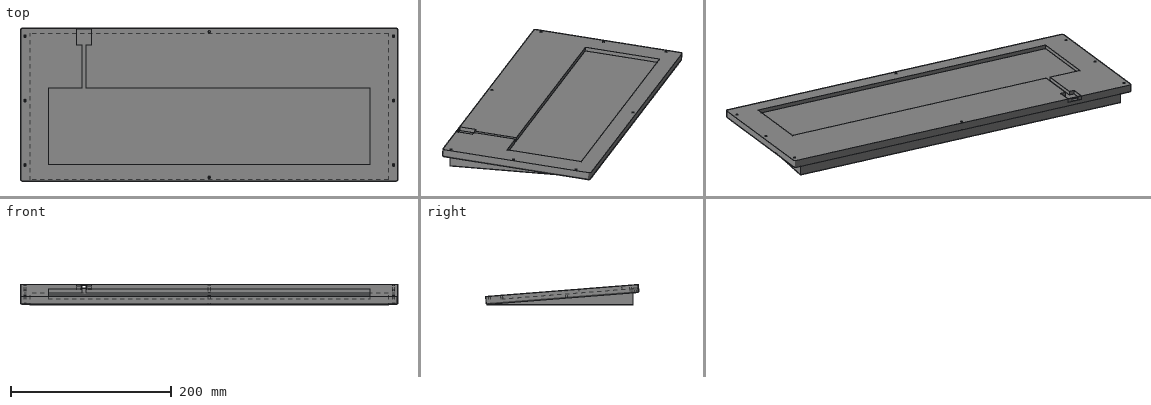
import cadquery as cq
import math

LENGTH = 470.0
WIDTH = 190.945
THICKNESS = 10.0
TILT = 4.5
CORNER_RADIUS = 3.0
UNDERSIDE_ROUND = 2.0
OVERALL_HEIGHT = 25.32

FOOT_SIDE_INSET = 12.0
FOOT_REAR_INSET = 7.2
FOOT_FRONT_INSET = 2.0
FOOT_OVERLAP = 2.0

RECESS_DEPTH = 4.8
PANEL_LENGTH = 400.5
PANEL_WIDTH = 95.5
PANEL_FRONT = 20.8
CONNECTOR_X = -156.0
CONNECTOR_LENGTH = 18.5
CONNECTOR_WIDTH = 20.25
REAR_WALL = 0.75
CHANNEL_WIDTH = 5.4

OPENING_WIDTH = 8.0
OPENING_ROOF = 1.5
OPENING_SILL = 0.5

HOLE_DIAMETER = 2.5
SIDE_HOLE_X = 229.5
SIDE_HOLE_PITCH = 80.5
SIDE_HOLE_MIDDLE = 100.5
CENTRE_HOLE_INSET = 4.5

tilt = math.radians(TILT)
panel_rear = PANEL_FRONT + PANEL_WIDTH
connector_rear = WIDTH - REAR_WALL
connector_front = connector_rear - CONNECTOR_WIDTH
front_top_height = OVERALL_HEIGHT - WIDTH * math.sin(tilt)


def block(x_middle, x_size, y_front, y_rear, z_bottom, z_top):
    """Box in the plate's own frame: front edge on Y = 0, top face on Z = 0."""
    return (
        cq.Workplane("XY", origin=(x_middle, 0, z_bottom))
        .moveTo(0, (y_front + y_rear) / 2)
        .rect(x_size, y_rear - y_front)
        .extrude(z_top - z_bottom)
    )


def tilted(flat):
    """Raise the rear of a body drawn in the plate's frame and set it at its height."""
    return flat.rotate((0, 0, 0), (1, 0, 0), TILT).translate(
        (0, -WIDTH / 2, front_top_height)
    )


def make_plate():
    """Plate with rounded corners and a rounded underside edge."""
    plate = block(0, LENGTH, 0, WIDTH, -THICKNESS, 0)
    plate = plate.edges("|Z").fillet(CORNER_RADIUS)
    return plate.faces("<Z").edges().fillet(UNDERSIDE_ROUND)


def make_foot():
    """Wedge standing on Z = 0 whose sloping top is sunk into the plate's underside."""
    top_depth = THICKNESS - FOOT_OVERLAP
    y_front = FOOT_FRONT_INSET - WIDTH / 2
    y_rear = WIDTH / 2 - FOOT_REAR_INSET

    def top_at(y):
        return front_top_height + (y + WIDTH / 2) * math.tan(tilt) - top_depth

    return (
        cq.Workplane("YZ")
        .polyline([(y_front, 0), (y_rear, 0), (y_rear, top_at(y_rear)), (y_front, top_at(y_front))])
        .close()
        .extrude(LENGTH / 2 - FOOT_SIDE_INSET, both=True)
    )


def make_recesses():
    """Panel and connector recesses, the channel joining them and the rear cable opening."""
    panel = block(0, PANEL_LENGTH, PANEL_FRONT, panel_rear, -RECESS_DEPTH, 0)
    connector = block(CONNECTOR_X, CONNECTOR_LENGTH, connector_front, connector_rear, -RECESS_DEPTH, 0)
    channel = block(CONNECTOR_X, CHANNEL_WIDTH, panel_rear, connector_front, -RECESS_DEPTH, 0)
    opening_bottom = OPENING_SILL - RECESS_DEPTH
    opening = block(CONNECTOR_X, OPENING_WIDTH, connector_rear, WIDTH, opening_bottom, -OPENING_ROOF)
    return panel.union(connector).union(channel).union(opening)


def make_holes():
    """Screw holes square to the top face, deep enough to pass through plate and foot."""
    side_holes = [
        (side * SIDE_HOLE_X, SIDE_HOLE_MIDDLE + step * SIDE_HOLE_PITCH)
        for side in (-1, 1)
        for step in (-1, 0, 1)
    ]
    centre_holes = [(0, CENTRE_HOLE_INSET), (0, WIDTH - CENTRE_HOLE_INSET)]
    return (
        cq.Workplane("XY")
        .pushPoints(side_holes + centre_holes)
        .circle(HOLE_DIAMETER / 2)
        .extrude(-OVERALL_HEIGHT)
    )


body = tilted(make_plate()).union(make_foot())
result = body.cut(tilted(make_recesses())).cut(tilted(make_holes()))